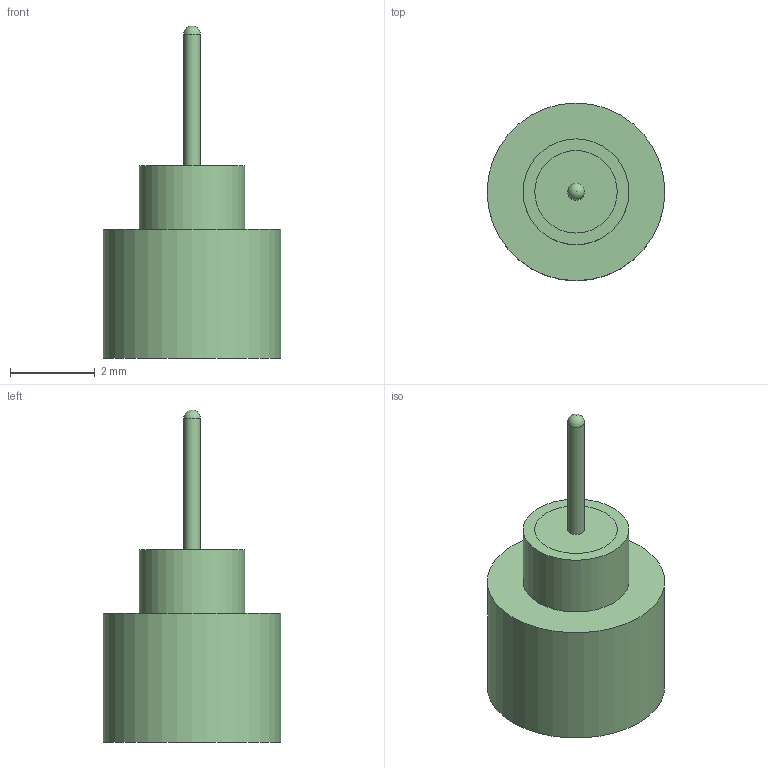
import cadquery as cq

BODY_DIAMETER = 4.2
BODY_HEIGHT = 3.05
COLLAR_DIAMETER = 2.5
COLLAR_HEIGHT = 1.5
INSULATOR_DIAMETER = 1.95
PIN_DIAMETER = 0.4
PIN_LENGTH = 3.3

collar_top = BODY_HEIGHT + COLLAR_HEIGHT
tip_radius = PIN_DIAMETER / 2


def cylinder(diameter, base_z, height):
    """Upright cylinder on the Z axis, starting at base_z."""
    return cq.Workplane("XY").workplane(offset=base_z).circle(diameter / 2).extrude(height)


def make_shell():
    """Stepped metal body with a bore through its collar."""
    body = cylinder(BODY_DIAMETER, 0, BODY_HEIGHT)
    collar = cylinder(COLLAR_DIAMETER, BODY_HEIGHT, COLLAR_HEIGHT)
    bore = cylinder(INSULATOR_DIAMETER, BODY_HEIGHT, COLLAR_HEIGHT)
    return body.union(collar).cut(bore)


def make_insulator():
    """Plug that fills the collar bore, flush with the collar's top face."""
    return cylinder(INSULATOR_DIAMETER, BODY_HEIGHT, COLLAR_HEIGHT)


def make_pin():
    """Contact pin standing on the insulator, with a hemispherical tip."""
    shank_length = PIN_LENGTH - tip_radius
    shank = cylinder(PIN_DIAMETER, collar_top, shank_length)
    tip = cq.Workplane("XY").sphere(tip_radius).translate((0, 0, collar_top + shank_length))
    return shank.union(tip)


result = make_shell().union(make_insulator(), clean=False).union(make_pin(), clean=False)